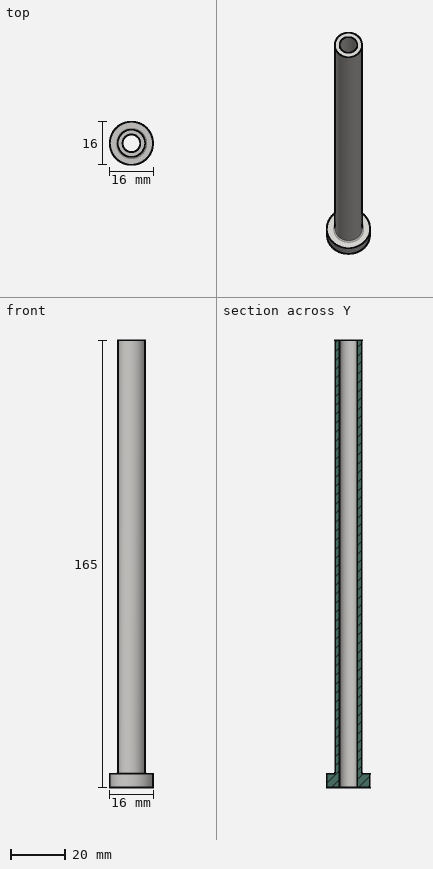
import cadquery as cq

total_length = 165.0
head_diameter = 16.0
head_height = 5.1
tube_diameter = 10.0
bore_diameter = 6.5
root_fillet_radius = 0.5

head = cq.Workplane("XY").circle(head_diameter / 2).extrude(head_height)
tube = cq.Workplane("XY").circle(tube_diameter / 2).extrude(total_length)
body = head.union(tube)

head_top_point = (head_diameter / 2, 0, head_height)
head_top_face = body.faces(cq.selectors.NearestToPointSelector(head_top_point))
body = head_top_face.edges(cq.selectors.RadiusNthSelector(0)).fillet(root_fillet_radius)

bore = cq.Workplane("XY").circle(bore_diameter / 2).extrude(total_length)
result = body.cut(bore)